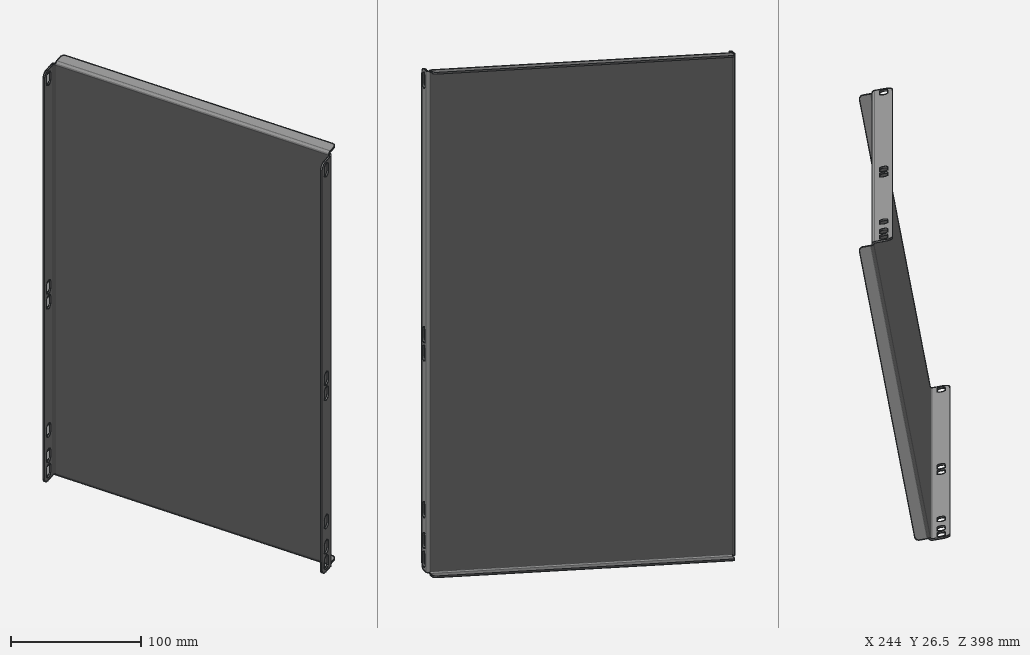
import cadquery as cq

width = 244.0
depth = 26.5
height = 398.0

thickness = 1.4
bend_outer = 2.45
bend_inner = bend_outer - thickness

panel_back = 16.5
panel_front = panel_back - thickness

end_flange_inset = bend_outer
side_flange_inset = 1.5
end_corner_radius = 3.0
side_corner_radius = 5.0

slot_length = 12.7
slot_width = 6.5
slot_y = 6.8
slot_heights = [10.5, 25.0, 49.5, 172.7, 187.0, 387.5]


def make_channel(plane, span, back, lip, length):
    """Bent channel on the given plane, with its back at local y = back and its lips ending at y = lip."""
    size = abs(back - lip)
    inner_span = span - 2 * thickness
    direction = 1 if back > lip else -1
    outer = (
        cq.Workplane(plane)
        .center(0, (back + lip) / 2)
        .rect(span, size)
        .extrude(length / 2, both=True)
    )
    cavity_back = back - direction * thickness
    cavity = (
        cq.Workplane(plane)
        .center(0, (cavity_back + lip) / 2)
        .rect(inner_span, size - thickness)
        .extrude(length / 2, both=True)
    )
    axis = "Z" if plane == "XY" else "X"
    back_edges = f"|{axis} and " + (">Y" if direction > 0 else "<Y")
    outer = outer.edges(back_edges).fillet(bend_outer)
    cavity = cavity.edges(back_edges).fillet(bend_inner)
    return outer.cut(cavity)


def make_side_channel():
    """Panel with two forward side flanges whose free corners are rounded."""
    channel = make_channel("XY", width, panel_back, 0, height - 2 * side_flange_inset)
    channel = channel.edges("|X and <Y").fillet(side_corner_radius)
    end_strips = (
        cq.Workplane("XZ")
        .pushPoints([(0, -height / 2), (0, height / 2)])
        .rect(width - 2 * end_flange_inset, 2 * bend_outer)
        .extrude(depth, both=True)
    )
    return channel.cut(end_strips)


def make_end_channel():
    """Panel with two rearward end flanges whose free corners are rounded."""
    plane = cq.Plane(origin=(0, 0, 0), xDir=(0, 0, 1), normal=(-1, 0, 0))
    channel = make_channel(plane, height, panel_front, depth, width - 2 * end_flange_inset)
    return channel.edges("|Z and >Y").fillet(end_corner_radius)


def make_slots():
    """Obround cutters crossing the full width."""
    centers = [(slot_y, z - height / 2) for z in slot_heights]
    return (
        cq.Workplane("YZ")
        .pushPoints(centers)
        .slot2D(slot_length, slot_width, 90)
        .extrude(width, both=True)
    )


result = make_side_channel().union(make_end_channel()).cut(make_slots())